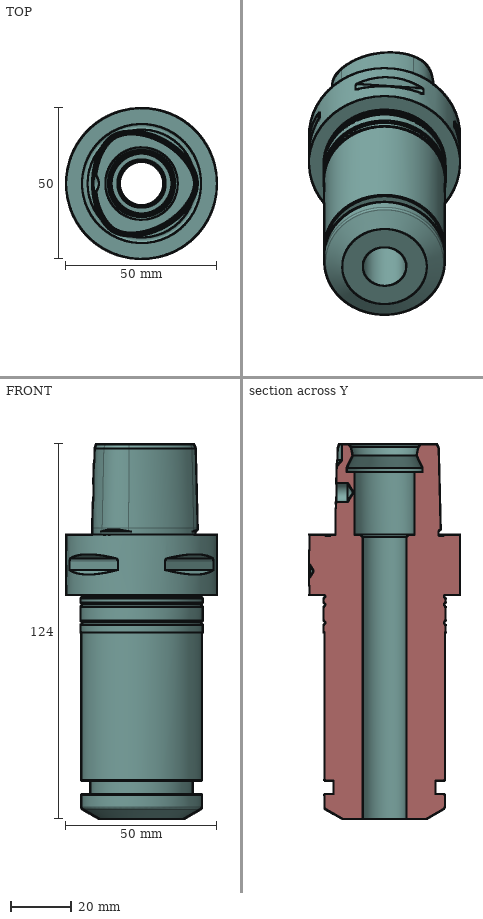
import cadquery as cq
import math


SHANK_LENGTH = 30.0
SHANK_MEAN_RADIUS = 17.5
LOBE_PITCH = 120
LOBE_HEIGHT = 1.12
LOBE_HALF_ANGLE = 27.0
TAPER = 1 / 20
STRAIGHT_HEIGHT = 2.2
TIP_CHAMFER_HEIGHT = 1.4
TIP_CHAMFER_INSET = 0.6
POINTS_PER_FACE = 9

FLANGE_RADIUS = 50.0 / 2
FLANGE_HEIGHT = 20.0

RELIEF_INNER_RADIUS = 17.85
RELIEF_OUTER_RADIUS = 19.7
RELIEF_DEPTH = 0.4
UNDERCUT_BOTTOM = 1.0
UNDERCUT_TOP = 1.8

SLOT_COUNT = 4
SLOT_FLOOR = 22.3
SLOT_FLOOR_TOP = -8.6
SLOT_FLOOR_BOTTOM = -11.6
SLOT_STRIP_HEIGHT = 0.7
SLOT_STRIP_LEAN = 0.2
SLOT_FLARE_ANGLE = 30.0
SLOT_START_ANGLE = 45.0

TOTAL_HEIGHT = 124.0
BODY_RADIUS = 40.0 / 2
COLLAR_RADIUS = 40.5 / 2
COLLAR_BOTTOM = -32.3
COLLAR_GROOVES = (-20.4, -23.1, -29.1)
COLLAR_GROOVE_HALF_WIDTH = 0.75
COLLAR_GROOVE_DEPTH = 0.6
NECK_RADIUS = 34.0 / 2
NECK_TOP = -81.4
HEAD_TOP = -85.7
HEAD_FACE_RADIUS = 14.0
HEAD_CONE_ANGLE = 30.0
HEAD_ROUND = 1.0
EDGE_BREAK = 0.3

THROUGH_RADIUS = 14.38 / 2
THROUGH_CHAMFER = 0.8
MOUTH_RADIUS = 24.0 / 2
MOUTH_CHAMFER_INSET = 0.9
MOUTH_CHAMFER_DEPTH = 1.0
MOUTH_NARROW_RADIUS = 21.0 / 2
MOUTH_DEPTH = 3.8
RECESS_RADIUS = 25.0 / 2
RECESS_TOP = 7.9
RECESS_BOTTOM = 9.2
POCKET_RADIUS = 9.9
POCKET_DEPTH = 30.0

DRILL_POINT_ANGLE = 118.0
SIDE_HOLE_RADIUS = 6.1 / 2
SIDE_HOLE_Z = 14.0
SIDE_HOLE_FLOOR = 12.2
SIDE_HOLE_SINK_START = 15.83
SIDE_HOLE_SINK_FLARE = 2.0
SIDE_HOLE_SINK_HEIGHT = 0.6
DIMPLE_RADIUS = 4.0 / 2
DIMPLE_Z = -12.0
DIMPLE_FLOOR = 24.7
NOTCH_RADIUS = 4.0
NOTCH_INNER = 14.1
NOTCH_DEPTH = 5.3
NOTCH_CONE_HEIGHT = 4.6

CLEARANCE = 1.0
BOTTOM = SHANK_LENGTH - TOTAL_HEIGHT


def lobe_point(mean_radius, angle, z):
    """Point of the three-lobed section whose outward normal has the given angle in degrees."""
    a = math.radians(angle)
    reach = mean_radius + LOBE_HEIGHT * math.cos(3 * a)
    slide = -3 * LOBE_HEIGHT * math.sin(3 * a)
    x = reach * math.cos(a) - slide * math.sin(a)
    y = reach * math.sin(a) + slide * math.cos(a)
    return cq.Vector(x, y, z)


def section_wire(mean_radius, z):
    """Closed section made of three rounded lobes and the three flatter sides between them."""
    edges = []
    for lobe_angle in range(0, 360, LOBE_PITCH):
        corners = (
            lobe_angle - LOBE_HALF_ANGLE,
            lobe_angle + LOBE_HALF_ANGLE,
            lobe_angle + LOBE_PITCH - LOBE_HALF_ANGLE,
        )
        for start, end in zip(corners, corners[1:]):
            step = (end - start) / (POINTS_PER_FACE - 1)
            points = [lobe_point(mean_radius, start + i * step, z) for i in range(POINTS_PER_FACE)]
            edges.append(cq.Edge.makeSpline(points))
    return cq.Wire.assembleEdges(edges)


def make_shank():
    """Lofted shank: straight base set into the flange, taper and tip chamfer."""
    chamfer_z = SHANK_LENGTH - TIP_CHAMFER_HEIGHT
    chamfer_radius = SHANK_MEAN_RADIUS - (chamfer_z - STRAIGHT_HEIGHT) * TAPER / 2
    sections = [
        section_wire(SHANK_MEAN_RADIUS, -FLANGE_HEIGHT / 2),
        section_wire(SHANK_MEAN_RADIUS, STRAIGHT_HEIGHT),
        section_wire(chamfer_radius, chamfer_z),
        section_wire(chamfer_radius - TIP_CHAMFER_INSET, SHANK_LENGTH),
    ]
    shank = cq.Workplane("XY")
    for lower, upper in zip(sections, sections[1:]):
        shank = shank.union(cq.Workplane(obj=cq.Solid.makeLoft([lower, upper], True)))
    return shank


def revolve(profile):
    """Turn a closed radius-height profile about the Z axis."""
    return profile.close().revolve(360, (0, 0, 0), (0, 1, 0))


def make_flange():
    return cq.Workplane("XY").circle(FLANGE_RADIUS).extrude(-FLANGE_HEIGHT)


def make_relief():
    """Curved ring groove in the flange face that runs up into an undercut of the lobes."""
    middle = (RELIEF_INNER_RADIUS + RELIEF_OUTER_RADIUS) / 2
    lobe_radius = SHANK_MEAN_RADIUS + LOBE_HEIGHT
    return revolve(
        cq.Workplane("XZ")
        .moveTo(lobe_radius, UNDERCUT_TOP)
        .lineTo(RELIEF_INNER_RADIUS, UNDERCUT_BOTTOM)
        .lineTo(RELIEF_INNER_RADIUS, 0)
        .threePointArc((middle, -RELIEF_DEPTH), (RELIEF_OUTER_RADIUS, 0))
        .lineTo(RELIEF_OUTER_RADIUS, UNDERCUT_TOP)
    )


def make_slot():
    """Cutter for one flared gripper slot, facing +X and running along Y."""
    outer = FLANGE_RADIUS + CLEARANCE
    flare = math.tan(math.radians(SLOT_FLARE_ANGLE))
    strip_x = SLOT_FLOOR + SLOT_STRIP_LEAN
    strip_z = SLOT_FLOOR_TOP + SLOT_STRIP_HEIGHT
    profile = [
        (SLOT_FLOOR, SLOT_FLOOR_BOTTOM),
        (SLOT_FLOOR, SLOT_FLOOR_TOP),
        (strip_x, strip_z),
        (outer, strip_z + (outer - strip_x) * flare),
        (outer, SLOT_FLOOR_BOTTOM - (outer - SLOT_FLOOR) * flare),
    ]
    return cq.Workplane("XZ").polyline(profile).close().extrude(FLANGE_RADIUS, both=True)


def make_body():
    """Grooved collar, plain body, neck and conical head as one turned piece."""
    cone_height = (BODY_RADIUS - HEAD_FACE_RADIUS) * math.tan(math.radians(HEAD_CONE_ANGLE))
    profile = [
        (0, -FLANGE_HEIGHT / 2),
        (COLLAR_RADIUS, -FLANGE_HEIGHT / 2),
        (COLLAR_RADIUS, COLLAR_BOTTOM),
        (BODY_RADIUS, COLLAR_BOTTOM),
        (BODY_RADIUS, NECK_TOP + EDGE_BREAK),
        (BODY_RADIUS - EDGE_BREAK, NECK_TOP),
        (NECK_RADIUS, NECK_TOP),
        (NECK_RADIUS, HEAD_TOP),
        (BODY_RADIUS - EDGE_BREAK, HEAD_TOP),
        (BODY_RADIUS, HEAD_TOP - EDGE_BREAK),
        (BODY_RADIUS, BOTTOM + cone_height),
        (HEAD_FACE_RADIUS, BOTTOM),
        (0, BOTTOM),
    ]
    body = revolve(cq.Workplane("XZ").polyline(profile))
    cone_edge_z = BOTTOM + cone_height
    cone_edge = cq.selectors.BoxSelector(
        (-FLANGE_RADIUS, -FLANGE_RADIUS, cone_edge_z - EDGE_BREAK),
        (FLANGE_RADIUS, FLANGE_RADIUS, cone_edge_z + EDGE_BREAK),
    )
    body = body.edges("%CIRCLE").edges(cone_edge).fillet(HEAD_ROUND)
    for groove_z in COLLAR_GROOVES:
        body = body.cut(make_collar_groove(groove_z))
    return body


def make_collar_groove(z):
    """V-shaped ring groove centred at height z."""
    return revolve(
        cq.Workplane("XZ")
        .moveTo(COLLAR_RADIUS, z + COLLAR_GROOVE_HALF_WIDTH)
        .lineTo(COLLAR_RADIUS - COLLAR_GROOVE_DEPTH, z)
        .lineTo(COLLAR_RADIUS, z - COLLAR_GROOVE_HALF_WIDTH)
    )


def make_bore():
    """Stepped bore from the shank tip, with an inner recess, and the through hole."""
    mouth_wall = MOUTH_RADIUS - MOUTH_CHAMFER_INSET
    steps = [
        (0, 0),
        (MOUTH_RADIUS, 0),
        (mouth_wall, MOUTH_CHAMFER_DEPTH),
        (MOUTH_NARROW_RADIUS, MOUTH_DEPTH),
        (RECESS_RADIUS, RECESS_TOP),
        (RECESS_RADIUS, RECESS_BOTTOM),
        (POCKET_RADIUS, RECESS_BOTTOM),
        (POCKET_RADIUS, POCKET_DEPTH),
        (THROUGH_RADIUS + THROUGH_CHAMFER, POCKET_DEPTH),
        (THROUGH_RADIUS, POCKET_DEPTH + THROUGH_CHAMFER),
        (THROUGH_RADIUS, TOTAL_HEIGHT),
        (0, TOTAL_HEIGHT),
    ]
    profile = [(radius, SHANK_LENGTH - depth) for radius, depth in steps]
    return revolve(cq.Workplane("XZ").polyline(profile))


def make_side_drill(radius, z, full_end):
    """Drill entering from -X; full_end is the axis distance where its conical point begins."""
    point_length = radius / math.tan(math.radians(DRILL_POINT_ANGLE / 2))
    profile = (
        cq.Workplane("XY")
        .moveTo(-FLANGE_RADIUS - CLEARANCE, 0)
        .lineTo(-FLANGE_RADIUS - CLEARANCE, radius)
        .lineTo(-full_end, radius)
        .lineTo(-full_end + point_length, 0)
        .close()
    )
    return profile.revolve(360, (0, 0, 0), (1, 0, 0)).translate((0, 0, z))


def make_side_hole_sink():
    """Shallow countersink around the side hole."""
    mouth_radius = SIDE_HOLE_RADIUS + SIDE_HOLE_SINK_FLARE * SIDE_HOLE_SINK_HEIGHT
    cone = cq.Solid.makeCone(
        SIDE_HOLE_RADIUS,
        mouth_radius,
        SIDE_HOLE_SINK_HEIGHT,
        pnt=cq.Vector(-SIDE_HOLE_SINK_START, 0, SIDE_HOLE_Z),
        dir=cq.Vector(-1, 0, 0),
    )
    return cq.Workplane(obj=cone)


def make_notch():
    """Upright round-walled notch with a conical end, open to the shank tip."""
    floor_z = SHANK_LENGTH - NOTCH_DEPTH
    cutter = revolve(
        cq.Workplane("XZ")
        .moveTo(0, SHANK_LENGTH)
        .lineTo(NOTCH_RADIUS, SHANK_LENGTH)
        .lineTo(NOTCH_RADIUS, floor_z)
        .lineTo(0, floor_z - NOTCH_CONE_HEIGHT)
    )
    return cutter.translate((-NOTCH_INNER - NOTCH_RADIUS, 0, 0))


def make_part():
    part = make_shank().union(make_flange()).union(make_body())
    part = part.cut(make_relief())
    for i in range(SLOT_COUNT):
        angle = SLOT_START_ANGLE + i * 360 / SLOT_COUNT
        part = part.cut(make_slot().rotate((0, 0, 0), (0, 0, 1), angle))
    part = part.cut(make_bore())
    part = part.cut(make_side_drill(SIDE_HOLE_RADIUS, SIDE_HOLE_Z, SIDE_HOLE_FLOOR))
    part = part.cut(make_side_hole_sink())
    part = part.cut(make_side_drill(DIMPLE_RADIUS, DIMPLE_Z, DIMPLE_FLOOR))
    return part.cut(make_notch())


result = make_part()